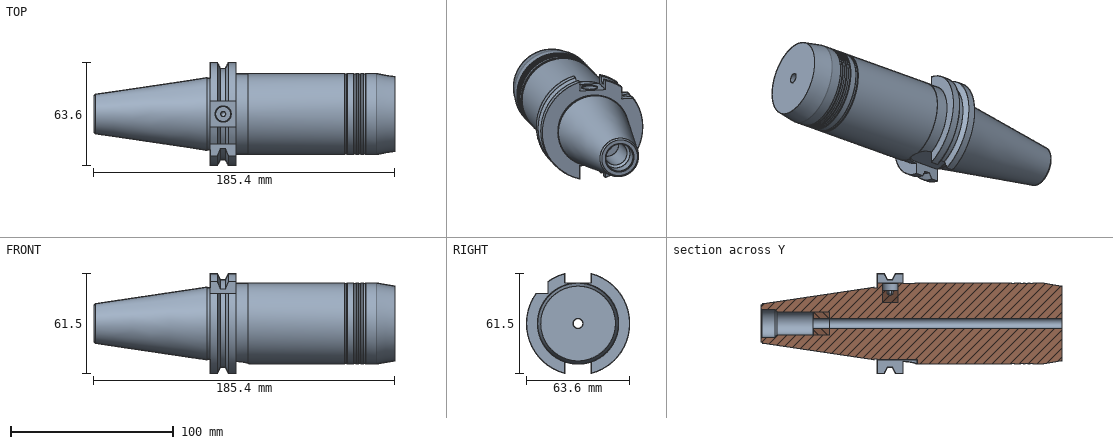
import cadquery as cq
import math


TOTAL_LENGTH = 185.4
TAPER_SMALL_RADIUS = 12.2
TAPER_LARGE_RADIUS = 22.5
TAPER_END = 69.5
TAPER_EDGE_CHAMFER = 1.0
NECK_RADIUS = 22.0
FLANGE_START = 71.5
FLANGE_END = 87.5
FLANGE_RADIUS = 31.8

V_GROOVE_CENTER = 79.4
V_GROOVE_BOTTOM_RADIUS = 28.2
V_GROOVE_TOP_WIDTH = 6.9
V_GROOVE_FLANK_ANGLE = 28.0

BODY_RADIUS = 25.0
COLLAR_RADIUS = 24.8
COLLAR_END = 94.7
NOSE_START = 173.7
NOSE_RADIUS = 23.0

SINGLE_RING_START = 154.0
RING_GROUP_START = 159.6
RING_GROUP_COUNT = 3
RING_PITCH = 3.0
RING_WIDTH = 1.9
RING_DEPTH = 0.4

SLOT_WIDTH = 16.1
UPPER_SLOT_FLOOR = 25.0
LOWER_SLOT_FLOOR = 22.5
LOWER_SLOT_END_CENTER = 88.0
NOTCH_DISTANCE = 18.5

COUNTERBORE_RADIUS = 8.5
COUNTERBORE_DEPTH = 8.5
BORE_EDGE_CHAMFER = 0.5
CORE_RADIUS = 7.0
CORE_DEPTH = 32.0
CHANNEL_RADIUS = 3.0

PLUG_LENGTH = 10.0

SCREW_CENTER = (FLANGE_START + FLANGE_END) / 2
SCREW_RADIUS = 4.6
SCREW_SINK = 4.6
SCREW_LENGTH = 7.5
SCREW_TOP = UPPER_SLOT_FLOOR - SCREW_SINK
SCREW_BOTTOM = SCREW_TOP - SCREW_LENGTH
SCREW_HOLE_CHAMFER = 0.4
SOCKET_ACROSS_FLATS = 3.0
SOCKET_DEPTH = 2.2
SOCKET_TIP_HALF_ANGLE = 59.0


def revolve_about_x(points):
    """Revolve a closed outline of (x, radius) points about the X axis."""
    return cq.Workplane("XZ").polyline(points).close().revolve(360, (0, 0, 0), (1, 0, 0))


def x_cylinder(start, length, radius):
    """Cylinder along X from the given start."""
    return cq.Workplane("YZ", origin=(start, 0, 0)).circle(radius).extrude(length)


def span_box(x_range, y_range, z_range):
    """Box between the given limits on each axis."""
    sizes = [high - low for low, high in (x_range, y_range, z_range)]
    corner = (x_range[0], y_range[0], z_range[0])
    return cq.Workplane("XY").box(*sizes, centered=False).translate(corner)


def holder_blank():
    """Turned shape: taper, neck, grooved flange, collar, body and nose."""
    half_top = V_GROOVE_TOP_WIDTH / 2
    groove_depth = FLANGE_RADIUS - V_GROOVE_BOTTOM_RADIUS
    half_bottom = half_top - groove_depth * math.tan(math.radians(V_GROOVE_FLANK_ANGLE))
    return revolve_about_x([
        (0, 0),
        (0, TAPER_SMALL_RADIUS - TAPER_EDGE_CHAMFER),
        (TAPER_EDGE_CHAMFER, TAPER_SMALL_RADIUS),
        (TAPER_END, TAPER_LARGE_RADIUS),
        (TAPER_END, NECK_RADIUS),
        (FLANGE_START, NECK_RADIUS),
        (FLANGE_START, FLANGE_RADIUS),
        (V_GROOVE_CENTER - half_top, FLANGE_RADIUS),
        (V_GROOVE_CENTER - half_bottom, V_GROOVE_BOTTOM_RADIUS),
        (V_GROOVE_CENTER + half_bottom, V_GROOVE_BOTTOM_RADIUS),
        (V_GROOVE_CENTER + half_top, FLANGE_RADIUS),
        (FLANGE_END, FLANGE_RADIUS),
        (FLANGE_END, COLLAR_RADIUS),
        (COLLAR_END, COLLAR_RADIUS),
        (COLLAR_END, BODY_RADIUS),
        (NOSE_START, BODY_RADIUS),
        (TOTAL_LENGTH, NOSE_RADIUS),
        (TOTAL_LENGTH, 0),
    ])


def ring_groove(start):
    """Ring with 45 degree flanks cut into the chuck body."""
    floor_radius = BODY_RADIUS - RING_DEPTH
    return revolve_about_x([
        (start, BODY_RADIUS),
        (start + RING_DEPTH, floor_radius),
        (start + RING_WIDTH - RING_DEPTH, floor_radius),
        (start + RING_WIDTH, BODY_RADIUS),
    ])


def ring_grooves():
    """List of all ring groove cutters."""
    group = [RING_GROUP_START + i * RING_PITCH for i in range(RING_GROUP_COUNT)]
    return [ring_groove(start) for start in [SINGLE_RING_START, *group]]


def upper_slot():
    half = SLOT_WIDTH / 2
    return span_box((FLANGE_START, FLANGE_END), (-half, half), (UPPER_SLOT_FLOOR, FLANGE_RADIUS))


def lower_slot():
    """Slot with a round end running out into the chuck body."""
    half = SLOT_WIDTH / 2
    z_range = (-FLANGE_RADIUS, -LOWER_SLOT_FLOOR)
    straight = span_box((FLANGE_START, LOWER_SLOT_END_CENTER), (-half, half), z_range)
    round_end = (
        cq.Workplane("XY", origin=(LOWER_SLOT_END_CENTER, 0, z_range[0]))
        .circle(half)
        .extrude(z_range[1] - z_range[0])
    )
    return straight.union(round_end)


def orientation_notch():
    return span_box(
        (FLANGE_START, FLANGE_END),
        (-FLANGE_RADIUS, -NOTCH_DISTANCE),
        (NOTCH_DISTANCE, FLANGE_RADIUS),
    )


def rear_bore():
    """Chamfered counterbore with a 45 degree step down to the core bore."""
    step = COUNTERBORE_RADIUS - CORE_RADIUS
    return revolve_about_x([
        (0, 0),
        (0, COUNTERBORE_RADIUS + BORE_EDGE_CHAMFER),
        (BORE_EDGE_CHAMFER, COUNTERBORE_RADIUS),
        (COUNTERBORE_DEPTH, COUNTERBORE_RADIUS),
        (COUNTERBORE_DEPTH + step, CORE_RADIUS),
        (CORE_DEPTH + PLUG_LENGTH, CORE_RADIUS),
        (CORE_DEPTH + PLUG_LENGTH, 0),
    ])


def coolant_channel():
    return x_cylinder(0, TOTAL_LENGTH, CHANNEL_RADIUS)


def screw_hole():
    """Round hole with a chamfered mouth in the floor of the upper slot."""
    hole = (
        cq.Workplane("XY", origin=(SCREW_CENTER, 0, SCREW_BOTTOM))
        .circle(SCREW_RADIUS)
        .extrude(UPPER_SLOT_FLOOR - SCREW_BOTTOM)
    )
    mouth = cq.Solid.makeCone(
        SCREW_RADIUS, SCREW_RADIUS + SCREW_HOLE_CHAMFER, SCREW_HOLE_CHAMFER,
        cq.Vector(SCREW_CENTER, 0, UPPER_SLOT_FLOOR - SCREW_HOLE_CHAMFER), cq.Vector(0, 0, 1),
    )
    return hole.union(cq.Workplane(mouth))


def make_holder():
    holder = holder_blank()
    for cutter in ring_grooves():
        holder = holder.cut(cutter)
    for cutter in (upper_slot(), lower_slot(), orientation_notch()):
        holder = holder.cut(cutter)
    for cutter in (rear_bore(), coolant_channel(), screw_hole()):
        holder = holder.cut(cutter)
    return holder


def make_coolant_plug():
    return x_cylinder(CORE_DEPTH, PLUG_LENGTH, CORE_RADIUS).cut(coolant_channel())


def hex_socket():
    """Hexagonal socket with a drill-point bottom, corners along X."""
    across_corners = SOCKET_ACROSS_FLATS / math.cos(math.radians(30))
    hexagon = (
        cq.Workplane("XY", origin=(SCREW_CENTER, 0, SCREW_TOP))
        .polygon(6, across_corners)
        .extrude(-SOCKET_DEPTH)
    )
    tip_radius = SOCKET_ACROSS_FLATS / 2
    tip_depth = tip_radius / math.tan(math.radians(SOCKET_TIP_HALF_ANGLE))
    tip = cq.Solid.makeCone(
        tip_radius, 0, tip_depth,
        cq.Vector(SCREW_CENTER, 0, SCREW_TOP - SOCKET_DEPTH), cq.Vector(0, 0, -1),
    )
    return hexagon.union(cq.Workplane(tip))


def make_screw():
    blank = cq.Workplane("XY", origin=(SCREW_CENTER, 0, SCREW_BOTTOM)).circle(SCREW_RADIUS)
    return blank.extrude(SCREW_LENGTH).cut(hex_socket())


holder = make_holder()
coolant_plug = make_coolant_plug()
screw = make_screw()

result = cq.Compound.makeCompound([holder.val(), coolant_plug.val(), screw.val()])